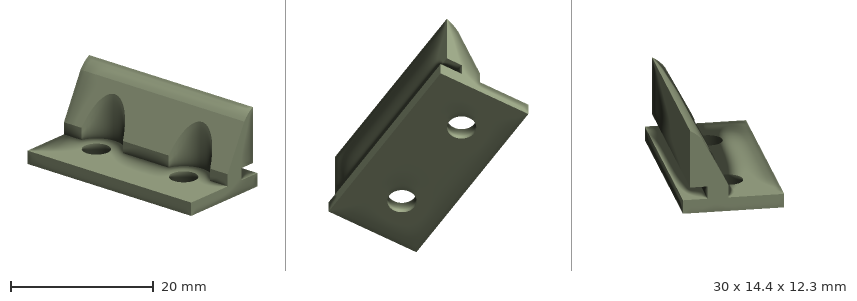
import cadquery as cq

length = 30.0
depth = 14.4
height = 12.3

base_thickness = 2.0
rib_front_y = 7.92
rib_back_y = depth - 1.02
groove_depth = 2.45
groove_height = 1.83
nose_start_y = 11.52
nose_start_z = 10.68
nose_bulge = 0.15

hole_diameter = 4.1
head_clearance_diameter = 8.0
hole_spacing = 16.0
hole_y = 6.65

groove_top_z = base_thickness + groove_height
groove_inner_y = rib_back_y - groove_depth

chord_y = rib_back_y - nose_start_y
chord_z = height - nose_start_z
chord_length = (chord_y**2 + chord_z**2) ** 0.5
nose_middle = (
    (nose_start_y + rib_back_y) / 2 - nose_bulge * chord_z / chord_length,
    (nose_start_z + height) / 2 + nose_bulge * chord_y / chord_length,
)

body = (
    cq.Workplane("YZ")
    .moveTo(0, 0)
    .lineTo(depth, 0)
    .lineTo(depth, base_thickness)
    .lineTo(groove_inner_y, base_thickness)
    .lineTo(groove_inner_y, groove_top_z)
    .lineTo(rib_back_y, groove_top_z)
    .lineTo(rib_back_y, height)
    .threePointArc(nose_middle, (nose_start_y, nose_start_z))
    .lineTo(rib_front_y, groove_top_z)
    .lineTo(rib_front_y, base_thickness)
    .lineTo(0, base_thickness)
    .close()
    .extrude(length)
)


def vertical_cylinders(diameter, bottom_z):
    """Cylinders on both hole axes, from bottom_z to the top of the part."""
    centers = [(length / 2 + side * hole_spacing / 2, hole_y) for side in (-1, 1)]
    return (
        cq.Workplane("XY")
        .workplane(offset=bottom_z)
        .pushPoints(centers)
        .circle(diameter / 2)
        .extrude(height - bottom_z)
    )


head_clearances = vertical_cylinders(head_clearance_diameter, base_thickness)
screw_holes = vertical_cylinders(hole_diameter, 0)

result = body.cut(head_clearances).cut(screw_holes)